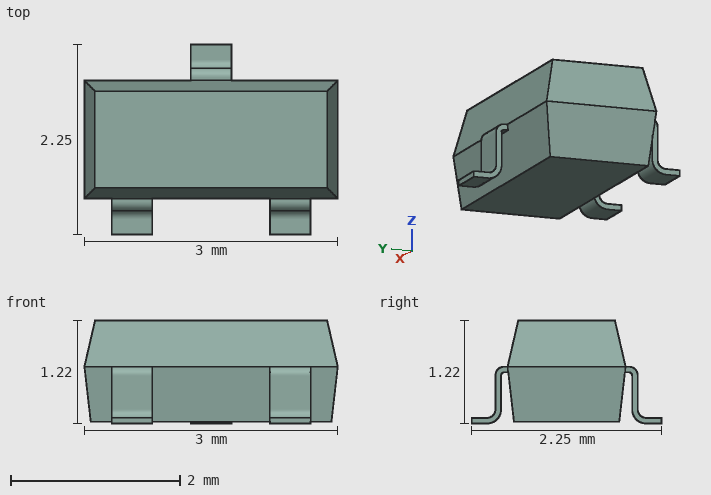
import cadquery as cq

body_length = 3.0
body_width = 1.398
upper_height = 0.545
lower_height = 0.655
upper_inset = 0.125
lower_inset = 0.075
standoff = 0.02
parting_z = standoff + lower_height

lead_span = 2.25
lead_width = 0.483
lead_thickness = 0.07
lead_offset = 0.935
foot_reach = 0.282
shoulder_inner_radius = 0.035
shoulder_outer_radius = shoulder_inner_radius + lead_thickness
heel_inner_radius = 0.1
heel_outer_radius = heel_inner_radius + lead_thickness
lead_embed = 0.09


def body_half(height, inset):
    """Half of the body, tapering from the parting plane by inset on every side."""
    return (
        cq.Workplane("XY", origin=(0, 0, parting_z))
        .rect(body_length, body_width)
        .workplane(offset=height)
        .rect(body_length - 2 * inset, body_width - 2 * inset)
        .loft(ruled=True)
    )


def front_lead(x_center):
    """Bent lead on the -Y side, with its root buried in the body."""
    tip_y = -lead_span / 2
    outer_face_y = tip_y + foot_reach
    inner_face_y = outer_face_y + lead_thickness
    root_y = -body_width / 2 + lead_embed
    shoulder_y = outer_face_y + shoulder_outer_radius
    shoulder_z = parting_z - shoulder_outer_radius
    heel_y = outer_face_y - heel_inner_radius
    heel_z = heel_outer_radius
    return (
        cq.Workplane("YZ", origin=(x_center, 0, 0))
        .moveTo(tip_y, 0)
        .lineTo(heel_y, 0)
        .radiusArc((inner_face_y, heel_z), -heel_outer_radius)
        .lineTo(inner_face_y, shoulder_z)
        .radiusArc((shoulder_y, parting_z - lead_thickness), shoulder_inner_radius)
        .lineTo(root_y, parting_z - lead_thickness)
        .lineTo(root_y, parting_z)
        .lineTo(shoulder_y, parting_z)
        .radiusArc((outer_face_y, shoulder_z), -shoulder_outer_radius)
        .lineTo(outer_face_y, heel_z)
        .radiusArc((heel_y, lead_thickness), heel_inner_radius)
        .lineTo(tip_y, lead_thickness)
        .close()
        .extrude(lead_width / 2, both=True)
    )


result = body_half(upper_height, upper_inset).union(body_half(-lower_height, lower_inset))

for x_center in (-lead_offset, lead_offset):
    result = result.union(front_lead(x_center))

result = result.union(front_lead(0).mirror("XZ"))